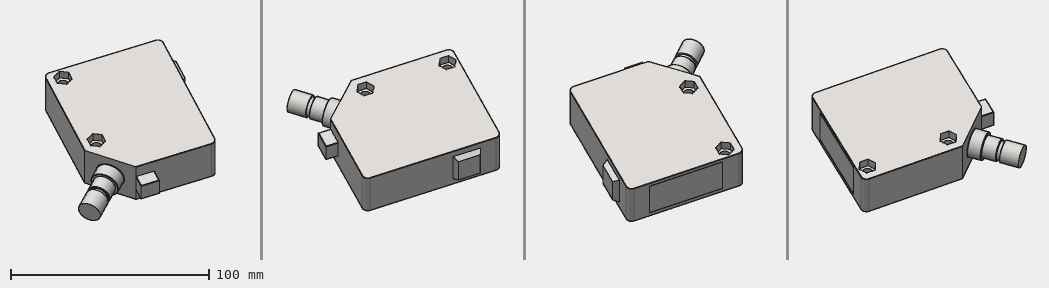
import cadquery as cq
import math

overall_length = 88.3

body_length = 75.0
body_width = 63.95
body_height = 25.0
corner_cut = 20.0
corner_radius = 3.0
rim_chamfer = 0.22

hole_diameter = 5.4
hole_first_x = 5.9
hole_spacing = 45.0
hole_y = 8.1
nut_flats = 8.0
nut_depth = 5.0

pad_length = 15.0
pad_height = 17.0
pad_rise = 3.0
pad_inset = 1.5
pad_centre_x = 18.9

block_length = 6.7
block_width = 10.0
block_height = 10.0
block_chamfer = 0.3

window_width = 40.1
window_height = 20.3
window_depth = 0.1
window_centre_y = 32.15

collar_radius = 7.5
collar_foot = 0.3
plug_radius = 6.0
neck_radius = 5.0
plug_chamfer = 0.3
collar_end = 7.3
sleeve_end = 14.9
neck_end = 16.9

mid_height = body_height / 2
cut_centre_x = body_length - corner_cut / 2
cut_centre_y = corner_cut / 2
plug_end = (overall_length - cut_centre_x) * math.sqrt(2) - plug_radius


def make_housing():
    outline = [
        (0, 0),
        (body_length - corner_cut, 0),
        (body_length, corner_cut),
        (body_length, body_width),
        (0, body_width),
    ]
    housing = cq.Workplane("XY").polyline(outline).close().extrude(body_height)
    housing = housing.edges("|Z and (<X or >Y)").fillet(corner_radius)
    cut_edge = cq.selectors.ParallelDirSelector(cq.Vector(1, 1, 0))
    return housing.faces(">Z").edges(cq.selectors.InverseSelector(cut_edge)).chamfer(rim_chamfer)


def make_mounting_holes():
    centres = [(hole_first_x, hole_y), (hole_first_x + hole_spacing, hole_y)]
    nut_corners = nut_flats / math.cos(math.pi / 6)
    holes = cq.Workplane("XY").pushPoints(centres).circle(hole_diameter / 2).extrude(body_height)
    nut_floor = cq.Workplane("XY").workplane(offset=body_height - nut_depth)
    pockets = nut_floor.pushPoints(centres).polygon(6, nut_corners).extrude(nut_depth)
    return holes.union(pockets)


def make_pad():
    wall = cq.Workplane("XZ", origin=(pad_centre_x, body_width, mid_height))
    base = wall.rect(pad_length, pad_height)
    top = base.workplane(offset=-pad_rise).rect(pad_length - 2 * pad_inset, pad_height - 2 * pad_inset)
    return top.loft(ruled=True)


def make_block():
    block = cq.Workplane("XY").box(block_length, block_width, block_height, centered=(False, False, True))
    block = block.faces(">Z").edges("|X or >X").chamfer(block_chamfer)
    return block.translate((body_length, corner_cut, mid_height))


def make_window():
    window = cq.Workplane("XY").box(window_depth, window_width, window_height, centered=(False, True, True))
    return window.translate((0, window_centre_y, mid_height))


def make_plug():
    profile = [
        (0, 0),
        (collar_radius + collar_foot, 0),
        (collar_radius, collar_foot),
        (collar_radius, collar_end - plug_chamfer),
        (collar_radius - plug_chamfer, collar_end),
        (plug_radius, collar_end),
        (plug_radius, sleeve_end - plug_chamfer),
        (plug_radius - plug_chamfer, sleeve_end),
        (neck_radius, sleeve_end),
        (neck_radius, neck_end),
        (plug_radius, neck_end),
        (plug_radius, plug_end),
        (0, plug_end),
    ]
    profile_plane = cq.Plane(
        origin=(cut_centre_x, cut_centre_y, mid_height),
        xDir=(0, 0, 1),
        normal=(1, 1, 0),
    )
    return cq.Workplane(profile_plane).polyline(profile).close().revolve(360, (0, 0), (0, 1))


result = make_housing()
result = result.union(make_pad()).union(make_block()).union(make_plug())
result = result.cut(make_window()).cut(make_mounting_holes())